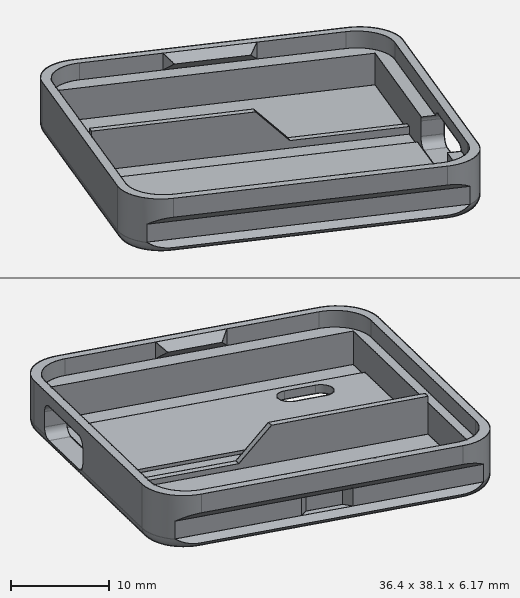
import cadquery as cq

length_x = 36.4
length_y = 38.1
height = 6.17
corner_radius = 4.57
bottom_fillet = 1.25
rim_thickness = 1.0
rim_inner_radius = 4.0
ledge_z = 4.3
floor_z = 0.57
left_floor_z = 0.8

cavity_x = 30.5
cavity_front_y = -17.0
cavity_back_y = 16.58

pad_left_x = 0.08
pad_right_x = 12.3
pad_top_z = 0.95
ridge_left_x = -3.62
ridge_thickness = 0.75
ridge_low_z = 1.4
ridge_high_z = 5.03
ramp_high_y = 0.35
ramp_low_y = ramp_high_y + ridge_high_z - ridge_low_z

port_left_x = 1.37
port_right_x = 11.0
port_bottom_z = 1.03
port_top_z = 4.88
port_radius = 1.05

slot_x = 10.15
slot_y = -9.45
slot_length = 6.1
slot_width = 2.65

groove_depth = 0.8
groove_bottom_z = 1.3
groove_top_z = 3.28

pocket_depth = 0.8
pocket_front_y = -2.63
pocket_back_y = 3.05
pocket_taper = 0.8

catch_depth = (height - ledge_z) / 2
left_catch_y = (-5.25, 4.7)
right_catch_y = (-3.85, 4.05)

outer_x = length_x / 2
rim_inner_x = outer_x - rim_thickness


def box_between(x_range, y_range, z_range):
    """Box spanning the given coordinate ranges."""
    return cq.Workplane("XY").box(
        x_range[1] - x_range[0], y_range[1] - y_range[0], z_range[1] - z_range[0], centered=False
    ).translate((x_range[0], y_range[0], z_range[0]))


def make_shell():
    """Rounded tray with a thin rim above a ledge and a rectangular cavity."""
    shell = (
        cq.Workplane("XY").rect(length_x, length_y).extrude(height)
        .edges("|Z").fillet(corner_radius)
        .faces("<Z").edges().fillet(bottom_fillet)
    )
    rim_opening = (
        cq.Workplane("XY").workplane(offset=ledge_z)
        .rect(length_x - 2 * rim_thickness, length_y - 2 * rim_thickness)
        .extrude(height - ledge_z)
        .edges("|Z").fillet(rim_inner_radius)
    )
    cavity = box_between(
        (-cavity_x / 2, cavity_x / 2), (cavity_front_y, cavity_back_y), (floor_z, height)
    )
    return shell.cut(rim_opening).cut(cavity)


def make_pad():
    """Low raised area of the cavity floor."""
    return box_between((pad_left_x, pad_right_x), (cavity_front_y, cavity_back_y), (floor_z, pad_top_z))


def make_left_floor():
    """Slightly raised floor between the left cavity wall and the ridge."""
    return box_between((-cavity_x / 2, ridge_left_x), (cavity_front_y, cavity_back_y), (floor_z, left_floor_z))


def make_ridge():
    """Divider, tall at the front and ramping down to a low rear section."""
    return (
        cq.Workplane("YZ", origin=(ridge_left_x, 0, 0))
        .moveTo(cavity_front_y, floor_z)
        .lineTo(cavity_back_y, floor_z)
        .lineTo(cavity_back_y, ridge_low_z)
        .lineTo(ramp_low_y, ridge_low_z)
        .lineTo(ramp_high_y, ridge_high_z)
        .lineTo(cavity_front_y, ridge_high_z)
        .close().extrude(ridge_thickness)
    )


def make_port():
    """Rounded rectangular opening through the back wall."""
    return box_between(
        (port_left_x, port_right_x), (cavity_back_y, length_y / 2), (port_bottom_z, port_top_z)
    ).edges("|Y").fillet(port_radius)


def make_floor_slot():
    return (
        cq.Workplane("XY").center(slot_x, slot_y)
        .slot2D(slot_length, slot_width, 90).extrude(pad_top_z)
    )


def make_groove(side):
    """Full-length groove in one side; side is -1 for left and 1 for right."""
    root_x = side * (outer_x - groove_depth)
    mouth_x = side * outer_x
    return (
        cq.Workplane("XZ").polyline([
            (root_x, groove_bottom_z),
            (mouth_x, groove_bottom_z - groove_depth),
            (mouth_x, groove_top_z + groove_depth),
            (root_x, groove_top_z),
        ]).close().extrude(length_y / 2, both=True)
    )


def make_pocket():
    """Pocket narrowing inward from the root of the left groove."""
    mouth_x = groove_depth - outer_x
    return (
        cq.Workplane("XY").workplane(offset=groove_bottom_z).polyline([
            (mouth_x, pocket_front_y),
            (mouth_x + pocket_depth, pocket_front_y + pocket_taper),
            (mouth_x + pocket_depth, pocket_back_y - pocket_taper),
            (mouth_x, pocket_back_y),
        ]).close().extrude(groove_top_z - groove_bottom_z)
    )


def make_catch(side, y_range):
    """Triangular snap bead on the rim wall, with 45 degree ends in plan."""
    front_y, back_y = y_range
    wall_x = side * rim_inner_x
    toe_x = side * (rim_inner_x - catch_depth)
    toe_z = ledge_z + catch_depth
    plan = (
        cq.Workplane("XY").workplane(offset=ledge_z).polyline([
            (wall_x, front_y),
            (toe_x, front_y + catch_depth),
            (toe_x, back_y - catch_depth),
            (wall_x, back_y),
        ]).close().extrude(height - ledge_z)
    )
    profile = (
        cq.Workplane("XZ")
        .polyline([(wall_x, ledge_z), (wall_x, height), (toe_x, toe_z)])
        .close().extrude(length_y / 2, both=True)
    )
    return plan.intersect(profile)


result = make_shell().union(make_pad()).union(make_left_floor()).union(make_ridge())
result = result.cut(make_port()).cut(make_floor_slot()).cut(make_pocket())
for side, catch_y in ((-1, left_catch_y), (1, right_catch_y)):
    result = result.cut(make_groove(side)).union(make_catch(side, catch_y))